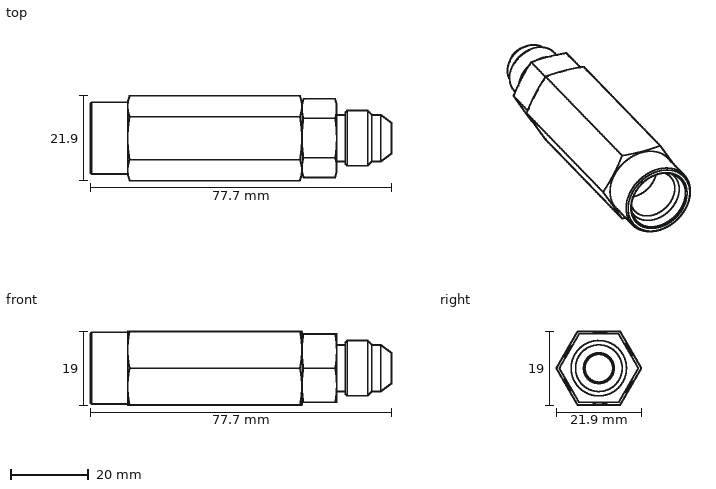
import cadquery as cq
import math


TOTAL_LENGTH = 77.7
BORE_DIAMETER = 7.15

HOUSING_ACROSS_FLATS = 19.0
HOUSING_END = 54.6
COLLAR_DIAMETER = 18.6
COLLAR_LENGTH = 9.6
COLLAR_CHAMFER = 0.4
HOUSING_CORNER_LENGTH = 0.55

PORT_MOUTH_DIAMETER = 16.25
PORT_MOUTH_CHAMFER = 0.3
SEAL_CONE_SMALL_DIAMETER = 14.45
SEAL_CONE_DEPTH = 2.7
PORT_DIAMETER = 12.75
PORT_DEPTH = 14.0

NUT_ACROSS_FLATS = 17.6
NUT_LENGTH = 8.9
NUT_FACE_DIAMETER = 17.5
NUT_CORNER_LENGTH = 0.4
NECK_DIAMETER = 12.05
NECK_LENGTH = 2.2
THREAD_DIAMETER = 14.3
THREAD_START_CHAMFER = 0.55
NOSE_LENGTH = 5.05
NOSE_CONE_LENGTH = 2.7
NOSE_CONE_HALF_ANGLE = 37.0


def revolve_profile(points):
    """Revolve a closed outline of (x, radius) points about the X axis."""
    return cq.Workplane("XY").polyline(points).close().revolve(360, (0, 0, 0), (1, 0, 0))


def hexagon_bar(start, end, across_flats, face_diameter, corner_length):
    """Hexagonal bar along X, with flats facing +Z and -Z and chamfered corners at both ends."""
    across_corners = 2 * across_flats / math.sqrt(3)
    bar = (
        cq.Workplane("YZ", origin=(start, 0, 0))
        .polygon(6, across_corners)
        .extrude(end - start)
    )
    corner_radius = across_corners / 2
    face_radius = face_diameter / 2
    envelope = revolve_profile([
        (start, 0),
        (start, face_radius),
        (start + corner_length, corner_radius),
        (end - corner_length, corner_radius),
        (end, face_radius),
        (end, 0),
    ])
    return bar.intersect(envelope)


def passage(start, end):
    """Cylinder that cuts the through passage."""
    radius = BORE_DIAMETER / 2
    return revolve_profile([(start, 0), (start, radius), (end, radius), (end, 0)])


def inlet_port():
    """Chamfered mouth, sealing cone, 45 degree step and flat-bottomed bore, as a cutting solid."""
    mouth_radius = PORT_MOUTH_DIAMETER / 2
    cone_radius = SEAL_CONE_SMALL_DIAMETER / 2
    port_radius = PORT_DIAMETER / 2
    return revolve_profile([
        (0, 0),
        (0, mouth_radius),
        (PORT_MOUTH_CHAMFER, mouth_radius - PORT_MOUTH_CHAMFER),
        (SEAL_CONE_DEPTH, cone_radius),
        (SEAL_CONE_DEPTH + cone_radius - port_radius, port_radius),
        (PORT_DEPTH, port_radius),
        (PORT_DEPTH, 0),
    ])


def make_housing():
    """Hexagonal body with a round inlet collar."""
    collar_radius = COLLAR_DIAMETER / 2
    body = hexagon_bar(
        COLLAR_LENGTH, HOUSING_END, HOUSING_ACROSS_FLATS, COLLAR_DIAMETER, HOUSING_CORNER_LENGTH
    )
    collar = revolve_profile([
        (0, 0),
        (0, collar_radius - COLLAR_CHAMFER),
        (COLLAR_CHAMFER, collar_radius),
        (COLLAR_LENGTH, collar_radius),
        (COLLAR_LENGTH, 0),
    ])
    return body.union(collar).cut(inlet_port()).cut(passage(0, HOUSING_END))


def make_fitting():
    """Hexagonal nut, neck, thread and conical nose of the outlet fitting."""
    nut_end = HOUSING_END + NUT_LENGTH
    thread_start = nut_end + NECK_LENGTH
    nose_start = TOTAL_LENGTH - NOSE_LENGTH
    cone_start = TOTAL_LENGTH - NOSE_CONE_LENGTH
    neck_radius = NECK_DIAMETER / 2
    thread_radius = THREAD_DIAMETER / 2
    front_chamfer = thread_radius - neck_radius
    tip_radius = neck_radius - NOSE_CONE_LENGTH * math.tan(math.radians(NOSE_CONE_HALF_ANGLE))
    nut = hexagon_bar(HOUSING_END, nut_end, NUT_ACROSS_FLATS, NUT_FACE_DIAMETER, NUT_CORNER_LENGTH)
    stem = revolve_profile([
        (nut_end, 0),
        (nut_end, neck_radius),
        (thread_start, neck_radius),
        (thread_start, thread_radius - THREAD_START_CHAMFER),
        (thread_start + THREAD_START_CHAMFER, thread_radius),
        (nose_start - front_chamfer, thread_radius),
        (nose_start, neck_radius),
        (cone_start, neck_radius),
        (TOTAL_LENGTH, tip_radius),
        (TOTAL_LENGTH, 0),
    ])
    return nut.union(stem).cut(passage(HOUSING_END, TOTAL_LENGTH))


housing = make_housing()
fitting = make_fitting()
result = cq.Compound.makeCompound([housing.val(), fitting.val()])